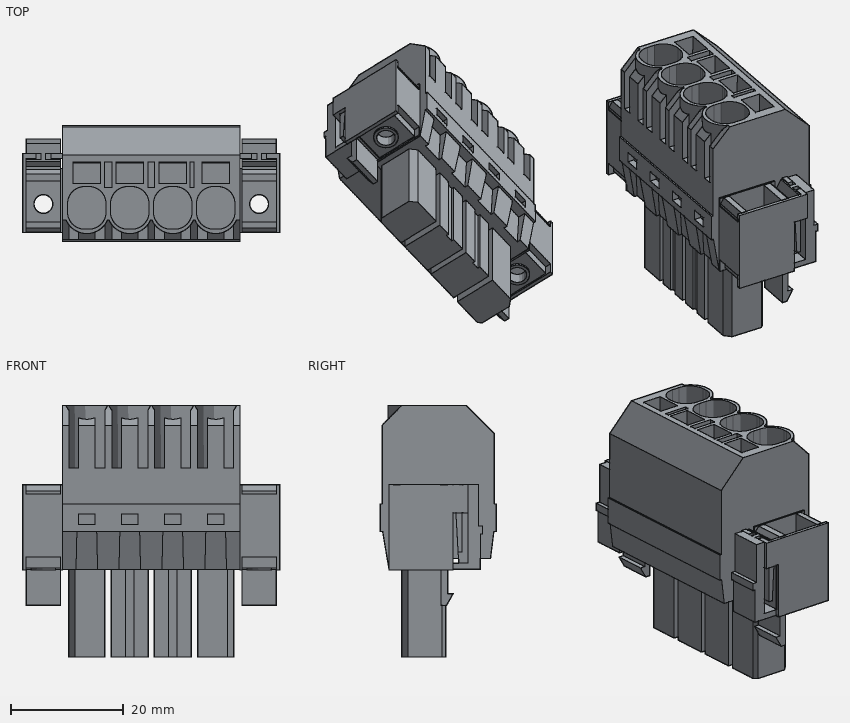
import cadquery as cq


total_length = 45.7
total_depth = 20.6
total_height = 44.7

pole_count = 4
pole_pitch = 7.65
pole_positions = [(i - (pole_count - 1) / 2) * pole_pitch for i in range(pole_count)]

body_length = 31.6
body_half = body_length / 2
body_bottom = 15.55
band_ledge = 0.3
band_bottom = 22.3
band_top = 27.25
body_front = band_ledge
body_rear = total_depth - band_ledge
front_chamfer_depth = 3.47
front_chamfer_height = 3.5
rear_chamfer = 5.0
skirt_front_top = 0.4
skirt_front_bottom = 1.55
skirt_rear_top = 20.2
skirt_rear_bottom = 19.6
skirt_rear_height = 17.5

panel_front_top = 1.75
panel_front_bottom = 2.2
panel_width_top = 3.5
panel_width_bottom = 3.85

window_width = 2.95
window_bottom = 23.55
window_height = 1.9
window_depth = 1.25

entry_y = 5.95
entry_width = 6.85
entry_depth = 7.6
entry_corner = 3.05
entry_floor = 33.6
sleeve_y = 5.4
sleeve_radius = 4.02
relief_width = 6.4
rib_width = 2.9

release_width = 4.95
release_front = 10.3
release_rear = 14.1
release_lean = 0.2
coding_front = 9.55
coding_depth = 6.85
coding_slots = [(-pole_pitch, 1.35), (0.0, 1.25), (7.25, 0.75)]

plug_front = 3.8
plug_rear = 11.65
plug_width_outer = 6.45
plug_width_inner = 6.65
plug_front_chamfer = 1.15
plug_rear_chamfer = 0.65
plug_groove_width = 1.45
plug_groove_depth = 0.45

frame_outer = total_length / 2
outer_plate = 0.65
inner_plate = 0.3
frame_front = 1.55
frame_rear = 12.95
frame_top = 30.65
frame_bottom = 15.45
bay_inner = body_half + inner_plate
bay_outer = frame_outer - outer_plate
bay_middle = (bay_inner + bay_outer) / 2
rail_rear = 15.65
rail_front = 14.68
rail_bottom = 25.65
rail_gap = 2.7
pocket_front = 3.47
pocket_rear = 10.7
pocket_floor = 17.85
top_setback = 0.15
top_setback_bottom = 29.0
top_chamfer_start = 2.4
top_chamfer_bottom = 29.5
bar_drop = 0.1
bar_rear = 12.8
bar_chamfer = 0.82
base_bottom = 15.85
notch_depth = 1.05
notch_top = 17.85
screw_y = 6.65
screw_hole = 3.3
screw_boss = 4.4

latch_back = 17.4
latch_lower_back = 17.8
bump_back = 18.2
bump_bottom = 21.85
bump_top = 23.25
latch_bottom = 15.6
foot_top = 16.7
foot_front = 10.4
slider_rear = 14.55
slider_tip = 14.2
slider_nose = 13.25
slider_nose_height = 29.05
slider_toe = 13.95
slider_bottom = 18.65
web_width = 0.82
tongue_front = 10.85
tongue_rear = 12.02
tongue_tip_rear = 11.8
tongue_bottom = 9.2
hook_height = 11.3
hook_rear = 13.0


def box(x, y, z):
    """Box between the (low, high) limits given for each axis."""
    size = (x[1] - x[0], y[1] - y[0], z[1] - z[0])
    return cq.Workplane("XY").box(*size, centered=False).translate((x[0], y[0], z[0]))


def prism_along_x(points, x_low, x_high):
    """Outline of (y, z) points swept from x_low to x_high."""
    return cq.Workplane("YZ").workplane(offset=x_low).polyline(points).close().extrude(x_high - x_low)


def wire_entry(x):
    """Cutter for one wire entry: an upright hole with a rounded outline."""
    entry = box(
        (x - entry_width / 2, x + entry_width / 2),
        (entry_y - entry_depth / 2, entry_y + entry_depth / 2),
        (entry_floor, total_height),
    )
    return entry.edges("|Z").fillet(entry_corner)


def entry_sleeve(x):
    """Solid round column that becomes the sleeve around one wire entry."""
    sleeve = cq.Workplane("XY", origin=(x, sleeve_y, entry_floor))
    return sleeve.circle(sleeve_radius).extrude(total_height - entry_floor)


def body_shell():
    """Plain housing body: chamfered top, projecting band and tapered skirt."""
    outline = [
        (skirt_front_bottom, body_bottom),
        (skirt_front_top, band_bottom),
        (0, band_bottom),
        (0, band_top),
        (body_front, band_top),
        (body_front, total_height - front_chamfer_height),
        (body_front + front_chamfer_depth, total_height),
        (body_rear - rear_chamfer, total_height),
        (body_rear, total_height - rear_chamfer),
        (body_rear, band_top),
        (total_depth, band_top),
        (total_depth, band_bottom),
        (skirt_rear_top, band_bottom),
        (skirt_rear_bottom, skirt_rear_height),
        (plug_rear, skirt_rear_height),
        (plug_rear, body_bottom),
    ]
    return prism_along_x(outline, -body_half, body_half)


def skirt_panel(x):
    """Cutter for one recessed panel: it widens and leans back towards the bottom."""
    face = [
        (x - panel_width_bottom / 2, body_bottom),
        (x + panel_width_bottom / 2, body_bottom),
        (x + panel_width_top / 2, band_bottom),
        (x - panel_width_top / 2, band_bottom),
    ]
    side = [
        (0, body_bottom),
        (panel_front_bottom, body_bottom),
        (panel_front_top, band_bottom),
        (0, band_bottom),
    ]
    wedge = cq.Workplane("XZ").polyline(face).close().extrude(-panel_front_bottom)
    return wedge.intersect(prism_along_x(side, x - panel_width_bottom, x + panel_width_bottom))


def test_window(x):
    return box(
        (x - window_width / 2, x + window_width / 2),
        (0, window_depth),
        (window_bottom, window_bottom + window_height),
    )


def sleeve_relief(x):
    """Cutter for the front pocket around one sleeve, leaving the middle rib standing."""
    pocket = box((x - relief_width / 2, x + relief_width / 2), (0, entry_y), (entry_floor, total_height))
    rib = box((x - rib_width / 2, x + rib_width / 2), (0, entry_y), (entry_floor, total_height))
    return pocket.cut(rib)


def release_opening(x):
    outline = [
        (release_front, entry_floor),
        (release_rear - release_lean, entry_floor),
        (release_rear, total_height),
        (release_front, total_height),
    ]
    return prism_along_x(outline, x - release_width / 2, x + release_width / 2)


def coding_slot(x, width):
    return box(
        (x - width / 2, x + width / 2),
        (coding_front, release_rear),
        (total_height - coding_depth, total_height),
    )


def inner_plug(x):
    """Plug of a middle pole, with a groove down its front face."""
    half = plug_width_inner / 2
    half_groove = plug_groove_width / 2
    plug = box((x - half, x + half), (plug_front, plug_rear), (0, body_bottom))
    groove = box(
        (x - half_groove, x + half_groove),
        (plug_front, plug_front + plug_groove_depth),
        (0, body_bottom),
    )
    return plug.cut(groove)


def outer_plug(x):
    """Plug of an end pole, with its two outward corners chamfered."""
    half = plug_width_outer / 2
    plug = box((x - half, x + half), (plug_front, plug_rear), (0, body_bottom))
    outward = ">X" if x > 0 else "<X"
    plug = plug.faces(outward).edges("|Z and <Y").chamfer(plug_front_chamfer)
    return plug.faces(outward).edges("|Z and >Y").chamfer(plug_rear_chamfer)


def flange_frame():
    """Frame at the right end of the housing: two plates, two cross bars and a screw base."""
    frame = box((body_half, frame_outer), (frame_front, frame_rear), (frame_bottom, frame_top))
    bay = (bay_inner, bay_outer)
    bar_top = frame_top - bar_drop
    frame = frame.cut(box(bay, (frame_front, frame_rear), (bar_top, frame_top)))

    setback = frame_front + top_setback
    top_front = [
        (frame_front, top_setback_bottom),
        (setback, top_setback_bottom),
        (setback, top_chamfer_bottom),
        (top_chamfer_start, bar_top),
        (frame_front, bar_top),
    ]
    frame = frame.cut(prism_along_x(top_front, *bay))

    bar_back = [
        (frame_rear, frame_bottom),
        (bar_rear, frame_bottom),
        (bar_rear, bar_top - bar_chamfer),
        (bar_rear - bar_chamfer, bar_top),
        (frame_rear, bar_top),
    ]
    frame = frame.cut(prism_along_x(bar_back, *bay))

    frame = frame.cut(box(bay, (frame_front, frame_rear), (frame_bottom, base_bottom)))
    frame = frame.cut(box(bay, (frame_front, frame_front + notch_depth), (frame_bottom, notch_top)))
    frame = frame.cut(box(bay, (foot_front, frame_rear), (frame_bottom, foot_top)))

    frame = frame.cut(box(bay, (pocket_front, pocket_rear), (pocket_floor, frame_top)))
    screw_axis = cq.Workplane("XY", origin=(bay_middle, screw_y, frame_bottom))
    frame = frame.union(screw_axis.circle(screw_boss / 2).extrude(pocket_floor - frame_bottom))
    frame = frame.cut(screw_axis.circle(screw_hole / 2).extrude(pocket_floor - frame_bottom))

    rail_height = (rail_bottom, frame_top)
    frame = frame.union(box((bay_outer, frame_outer), (frame_rear, rail_rear), rail_height))
    outer_rail = box((bay_middle + rail_gap / 2, frame_outer), (rail_front, rail_rear), rail_height)
    inner_rail = box((body_half, bay_middle - rail_gap / 2), (rail_front, rail_rear), rail_height)
    return frame.union(outer_rail).union(inner_rail)


def make_housing():
    housing = body_shell()
    for x in pole_positions:
        housing = housing.cut(sleeve_relief(x))
    for x in pole_positions:
        housing = housing.union(entry_sleeve(x))
    for x in pole_positions:
        housing = housing.cut(wire_entry(x))
        housing = housing.cut(release_opening(x))
        housing = housing.cut(test_window(x))
        housing = housing.cut(skirt_panel(x))
    for x, width in coding_slots:
        housing = housing.cut(coding_slot(x, width))

    for x in pole_positions[1:-1]:
        housing = housing.union(inner_plug(x))
    for x in (pole_positions[0], pole_positions[-1]):
        housing = housing.union(outer_plug(x))

    frame = flange_frame()
    return housing.union(frame).union(frame.mirror("YZ"))


def make_latch():
    """Latch of the right flange: back plate, web and slider around the rails, foot and tongue."""
    back_foot_tongue = [
        (rail_rear, frame_top),
        (latch_back, frame_top),
        (latch_back, bump_top),
        (bump_back, bump_top),
        (bump_back, bump_bottom),
        (latch_lower_back, bump_bottom),
        (latch_lower_back, latch_bottom),
        (tongue_rear, latch_bottom),
        (tongue_rear, hook_height),
        (hook_rear, hook_height),
        (tongue_tip_rear, tongue_bottom),
        (tongue_front, tongue_bottom),
        (tongue_front, latch_bottom),
        (foot_front, latch_bottom),
        (foot_front, foot_top),
        (rail_rear, foot_top),
    ]
    latch = prism_along_x(back_foot_tongue, bay_inner, bay_outer)

    slider_outline = [
        (rail_rear, foot_top),
        (rail_rear, frame_top),
        (slider_tip, frame_top),
        (slider_nose, slider_nose_height),
        (slider_toe, foot_top),
    ]
    slider = prism_along_x(slider_outline, bay_inner, bay_outer)
    slider = slider.intersect(box((bay_inner, bay_outer), (0, slider_rear), (slider_bottom, frame_top)))
    web = prism_along_x(slider_outline, bay_middle - web_width / 2, bay_middle + web_width / 2)
    return latch.union(web).union(slider)


housing = make_housing()

latches = []
for mirrored in (False, True):
    latch = make_latch()
    if mirrored:
        latch = latch.mirror("YZ")
    latches.append(latch)

result = cq.Compound.makeCompound([body.solids().val() for body in (housing, *latches)])